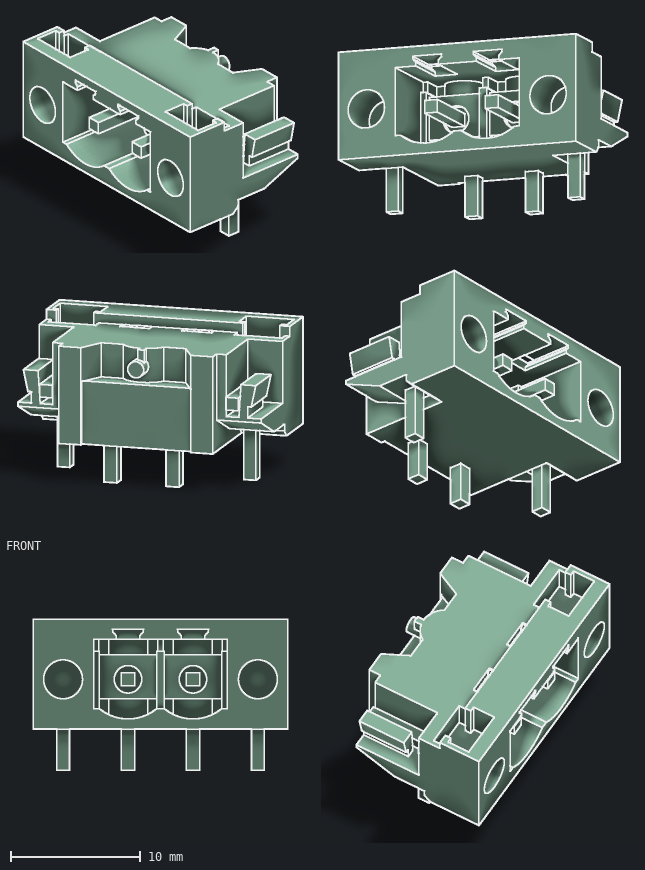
import cadquery as cq


width = 19.6
depth = 12.0
height = 8.46
roof_z = 7.69
front_bar_depth = 3.5
flange_depth = 5.4
core_half_width = 7.0
shoulder_y = 11.0
rear_block_half_width = 6.2

pitch = 5.0
contact_xs = [-pitch / 2, pitch / 2]
sides = [-1, 1]
axis_z = 3.83
flange_hole_x = 1.5 * pitch
flange_hole_diameter = 3.0
flange_hole_depth = 4.5
leg_bottom_z = -3.17

cavity_half_width = 5.12
cavity_top_z = 6.9
cavity_depth = 5.5
ledge_z = 1.56
trough_bottom_z = 0.78
trough_half_width = 2.2
cell_half_width = 2.27
rib_top_z = 6.0
upper_rib_y = 6.0
cell_back_y = 8.0
post_radius = 1.5
slab_front_y = 6.2
slab_bottom_z = 2.34
slab_top_z = 5.72
contact_recess_radius = 1.06
contact_recess_depth = 0.5

slot_length = 4.14
slot_top_half_width = 1.19
slot_neck_half_width = 0.915
slot_shoulder_z = 7.5
slot_neck_z = 7.2

pocket_half_width = 1.92
pocket_front_y = 1.15
pocket_rear_y = 4.3
pocket_floor_z = 5.5
pocket_tab_reach = 0.42
pocket_tab_thickness = 0.5

wing_top_z = 2.8
wing_tip_z = 2.48
wing_bottom_z = 1.04
wing_slope_end_y = 7.57
foot_rear_y = 4.89
foot_chamfer = 0.5
latch_front_y = 7.0
latch_top_z = 5.4
latch_hook_z = 3.69
latch_tip_x = 9.36
latch_hook_x = 9.0
latch_stem_x = 8.7
latch_inner_top_x = 8.17
latch_inner_bottom_x = 8.0

notch_outer_half_width = 4.43
notch_inner_half_width = 3.4
notch_y = 9.93
notch_floor_z = 5.0
notch_floor_rear_y = 11.67
bulge_half_width = 1.62
bulge_rear_y = 10.83
key_radius = 0.64
key_z = 6.25
key_start_y = 9.5
key_rib_left_x = -0.48
key_rib_right_x = 0.03
key_rib_rear_y = 11.38

contact_width = 1.06
contact_height = 1.0
contact_tip_y = 0.88
contact_leg_rear_y = 10.5
contact_leg_thickness = 1.06
anchor_size = 1.0
anchor_front_y = 5.52
anchor_rear_y = 11.15
anchor_top_z = 4.36


def block(x_min, x_max, y_min, y_max, z_min, z_max):
    """Box between opposite corners."""
    size = (x_max - x_min, y_max - y_min, z_max - z_min)
    return cq.Workplane("XY").box(*size, centered=False).translate((x_min, y_min, z_min))


def along_y(start_y):
    """Sketch plane with local axes X and Z, extruding toward the rear."""
    return cq.Workplane("XZ", origin=(0, start_y, 0))


def housing_shell():
    """Solid outer form of the flange, the core and the side wings."""
    half = width / 2
    flange = block(-half, half, 0, flange_depth, 0, height)
    core = block(-core_half_width, core_half_width, 0, shoulder_y, wing_top_z, roof_z)
    rear_block = block(-rear_block_half_width, rear_block_half_width, 0, depth, 0, roof_z)
    step = block(-half, half, front_bar_depth, flange_depth, roof_z, height)
    shell = flange.union(core).union(rear_block).cut(step)

    wing_outline = [
        (flange_depth, wing_top_z),
        (shoulder_y, wing_top_z),
        (shoulder_y, wing_tip_z),
        (wing_slope_end_y, wing_bottom_z),
        (flange_depth, wing_bottom_z),
    ]
    foot_outline = [
        (flange_depth, 0),
        (flange_depth, wing_bottom_z),
        (foot_rear_y, wing_bottom_z),
        (foot_rear_y, foot_chamfer),
        (foot_rear_y - foot_chamfer, 0),
    ]
    wing_width = half - rear_block_half_width
    for start_x in (-half, rear_block_half_width):
        plane = cq.Workplane("YZ", origin=(start_x, 0, 0))
        shell = shell.union(plane.polyline(wing_outline).close().extrude(wing_width))
        shell = shell.cut(plane.polyline(foot_outline).close().extrude(wing_width))
    return shell


def latch(side):
    """Hooked latch standing on a side wing."""
    outline = [
        (side * latch_inner_bottom_x, wing_top_z),
        (side * latch_inner_top_x, latch_top_z),
        (side * latch_tip_x, latch_top_z),
        (side * latch_hook_x, latch_hook_z),
        (side * latch_stem_x, latch_hook_z),
        (side * latch_stem_x, wing_top_z),
    ]
    return along_y(latch_front_y).polyline(outline).close().extrude(latch_front_y - shoulder_y)


def flange_pocket(side):
    """Top pocket with two tabs that narrow its opening like an H."""
    center_x = side * flange_hole_x
    left = center_x - pocket_half_width
    right = center_x + pocket_half_width
    pocket = block(left, right, pocket_front_y, pocket_rear_y, pocket_floor_z, height)
    tab_front_y = front_bar_depth - pocket_tab_thickness
    for tab_left in (left, right - pocket_tab_reach):
        tab_right = tab_left + pocket_tab_reach
        tab = block(tab_left, tab_right, tab_front_y, front_bar_depth, pocket_floor_z, height)
        pocket = pocket.cut(tab)
    return pocket


def flange_hole(side):
    """Blind round hole in the mating face."""
    plane = along_y(0).center(side * flange_hole_x, axis_z)
    return plane.circle(flange_hole_diameter / 2).extrude(-flange_hole_depth)


def trough(center_x):
    """Round-bottomed channel in the cavity floor."""
    return (
        along_y(0)
        .moveTo(center_x - trough_half_width, ledge_z)
        .threePointArc((center_x, trough_bottom_z), (center_x + trough_half_width, ledge_z))
        .close()
        .extrude(-cell_back_y)
    )


def cell(center_x):
    """Space behind the cavity around one contact: post at the back, slab across it."""
    left = center_x - trough_half_width
    right = center_x + trough_half_width
    space = block(left, right, cavity_depth, cell_back_y, ledge_z, rib_top_z)
    space = space.union(trough(center_x))
    upper_left = center_x - cell_half_width
    upper_right = center_x + cell_half_width
    space = space.union(block(upper_left, upper_right, cavity_depth, cell_back_y, rib_top_z, cavity_top_z))

    post = (
        cq.Workplane("XY")
        .center(center_x, cell_back_y)
        .circle(post_radius)
        .extrude(cavity_top_z)
    )
    slab = block(left, right, slab_front_y, cell_back_y, slab_bottom_z, slab_top_z)
    recess = (
        along_y(slab_front_y)
        .center(center_x, axis_z)
        .circle(contact_recess_radius)
        .extrude(-contact_recess_depth)
    )
    return space.cut(post).cut(slab).union(recess)


def mating_cavity():
    """Opening for the plug, with both contact cells."""
    half = cavity_half_width
    cavity = block(-half, half, 0, cavity_depth, ledge_z, cavity_top_z)
    cavity = cavity.union(block(-half, half, cavity_depth, upper_rib_y, rib_top_z, cavity_top_z))
    for x in contact_xs:
        cavity = cavity.union(cell(x))
    return cavity


def coding_slot(center_x):
    """Dovetail slot that opens into the top of the cavity."""
    top = slot_top_half_width
    neck = slot_neck_half_width
    outline = [
        (center_x - neck, cavity_top_z),
        (center_x - neck, slot_neck_z),
        (center_x - top, slot_shoulder_z),
        (center_x - top, roof_z),
        (center_x + top, roof_z),
        (center_x + top, slot_shoulder_z),
        (center_x + neck, slot_neck_z),
        (center_x + neck, cavity_top_z),
    ]
    return along_y(0).polyline(outline).close().extrude(-slot_length)


def rear_notch():
    """Tapered notch in the upper rear edge around a rounded bulge."""
    notch = (
        cq.Workplane("XY", origin=(0, 0, notch_floor_z))
        .moveTo(-notch_outer_half_width, depth)
        .lineTo(-notch_inner_half_width, notch_y)
        .lineTo(-bulge_half_width, notch_y)
        .threePointArc((0, bulge_rear_y), (bulge_half_width, notch_y))
        .lineTo(notch_inner_half_width, notch_y)
        .lineTo(notch_outer_half_width, depth)
        .close()
        .extrude(roof_z - notch_floor_z)
    )
    lower_setback = block(
        -notch_outer_half_width, notch_outer_half_width, notch_floor_rear_y, depth, 0, notch_floor_z
    )
    return notch.union(lower_setback)


def rear_key():
    """Round key with a short rib that joins it to the roof."""
    key = along_y(key_start_y).center(0, key_z).circle(key_radius).extrude(key_start_y - depth)
    rib = block(key_rib_left_x, key_rib_right_x, key_start_y, key_rib_rear_y, key_z, roof_z)
    return key.union(rib)


def contact_pin(center_x):
    """L-shaped contact: blade along Y and a solder leg at its rear."""
    left = center_x - contact_width / 2
    right = center_x + contact_width / 2
    top_z = axis_z + contact_height / 2
    blade = block(left, right, contact_tip_y, contact_leg_rear_y, top_z - contact_height, top_z)
    leg_front_y = contact_leg_rear_y - contact_leg_thickness
    leg = block(left, right, leg_front_y, contact_leg_rear_y, leg_bottom_z, top_z)
    return blade.union(leg)


def anchor_pin(side):
    """L-shaped anchor lying against the core: leg through the wing and an arm to the rear."""
    left = side * flange_hole_x - anchor_size / 2
    right = left + anchor_size
    leg = block(left, right, anchor_front_y, anchor_front_y + anchor_size, leg_bottom_z, anchor_top_z)
    arm = block(left, right, anchor_front_y, anchor_rear_y, anchor_top_z - anchor_size, anchor_top_z)
    return leg.union(arm)


contacts = [contact_pin(x) for x in contact_xs]
anchors = [anchor_pin(side) for side in sides]

housing = housing_shell().cut(mating_cavity()).cut(rear_notch()).union(rear_key())
for x in contact_xs:
    housing = housing.cut(coding_slot(x))
for side in sides:
    housing = housing.union(latch(side)).cut(flange_pocket(side)).cut(flange_hole(side))
for pin in contacts + anchors:
    housing = housing.cut(pin)

result = cq.Compound.makeCompound([housing.val(), *[pin.val() for pin in contacts + anchors]])